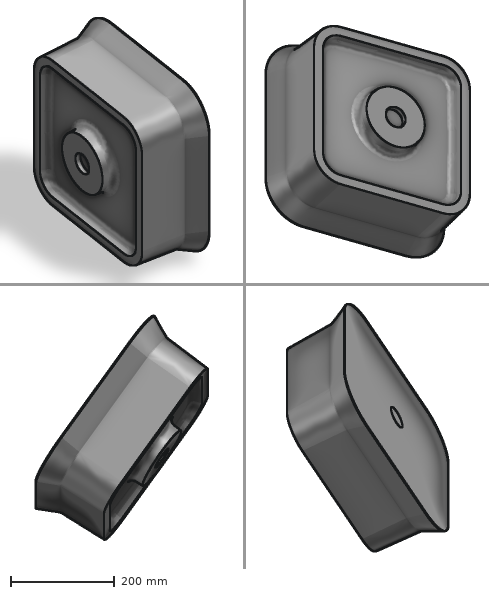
import cadquery as cq
import math


rim_land = 1.5
flare_height = 45.0
bowl_height = 100.0
boss_projection = 14.0
foot_y = -(flare_height + bowl_height)
boss_face_y = foot_y - boss_projection

corner_centre = 115.0
rim_half = 200.2
waist_half = 179.5
foot_half = 175.0
waist_fillet = 5.2

recess_half = 155.0
recess_draft = 20.0
recess_fillet = 16.0

floor_square_half = 25.0
floor_slope = 3.0
floor_peak_corner = 20.0
floor_peak_depth = 15.2
floor_base_depth = 32.0

boss_radius = 65.3
boss_draft = 3.0
boss_fillet = 16.0
drain_radius = 22.0
plug_setback = 12.0

pick_margin = 4.0


def facing_plane(y, direction):
    """Plane across the basin axis at height y, facing +Y (1) or -Y (-1)."""
    return cq.Plane(origin=(0, y, 0), xDir=(1, 0, 0), normal=(0, direction, 0))


def rounded_square_block(half, centre, y, height, taper, direction):
    """Tapered block from a square whose corner arcs are centred at (+-centre, +-centre)."""
    outline = cq.Sketch().rect(2 * half, 2 * half).vertices().fillet(half - centre)
    return cq.Workplane(facing_plane(y, direction)).placeSketch(outline).extrude(height, taper=taper)


def frustum(start_half, end_half, y, height):
    """Outer block running towards -Y from one half width to a smaller one."""
    taper = math.degrees(math.atan2(start_half - end_half, height))
    return rounded_square_block(start_half, corner_centre, y, height, taper, -1)


def drain_cylinder(y_start):
    """Drain-sized cylinder from y_start to the rim face."""
    return cq.Workplane(facing_plane(y_start, 1)).circle(drain_radius).extrude(-y_start)


def centred_box(half, y_low, y_high):
    """Selector for what has its centre within a square box around the axis."""
    return cq.selectors.BoxSelector((-half, y_low, -half), (half, y_high, half))


def make_outer_block():
    """Rim land, flare and bowl in one block, with a rounded waist."""
    land = frustum(rim_half, rim_half, 0, rim_land)
    flare = frustum(rim_half, waist_half, -rim_land, flare_height - rim_land)
    bowl = frustum(waist_half, foot_half, -flare_height, bowl_height)
    waist = centred_box(rim_half, -flare_height - pick_margin, -flare_height + pick_margin)
    return land.union(flare).union(bowl).edges(waist).fillet(waist_fillet)


def make_boss():
    """Drafted boss from below the recess floor to its projecting face."""
    root_y = foot_y + floor_base_depth
    height = root_y - boss_face_y
    root_radius = boss_radius + height * math.tan(math.radians(boss_draft))
    return cq.Workplane(facing_plane(root_y, -1)).circle(root_radius).extrude(height, taper=boss_draft)


def make_floor_mound():
    """Shallow mound that gives the recess floor its slope."""
    height = floor_base_depth - floor_peak_depth
    base_corner = floor_peak_corner + height / math.tan(math.radians(floor_slope))
    base_half = floor_square_half + base_corner
    base_y = foot_y + floor_base_depth
    return rounded_square_block(base_half, floor_square_half, base_y, height, 90 - floor_slope, -1)


def make_recess(boss):
    """Ring-shaped space around the boss, rounded where its floor meets the wall and the boss."""
    pocket = rounded_square_block(recess_half, corner_centre, foot_y, floor_base_depth, recess_draft, 1)
    space = pocket.cut(make_floor_mound()).cut(boss)
    floor_top_y = foot_y + floor_peak_depth
    floor_bottom_y = foot_y + floor_base_depth
    whole_floor = centred_box(recess_half, floor_top_y, floor_bottom_y)
    inner_floor = centred_box(corner_centre + pick_margin, floor_top_y, floor_bottom_y)
    boss_foot = centred_box(boss_radius + pick_margin, floor_top_y, floor_bottom_y)
    space = space.edges(whole_floor - inner_floor).fillet(recess_fillet)
    return space.edges(boss_foot).fillet(boss_fillet)


def make_basin():
    boss = make_boss()
    block = make_outer_block().cut(make_recess(boss)).union(boss)
    return block.cut(drain_cylinder(boss_face_y))


def make_plug():
    """Plug filling the drain, set back from the boss face."""
    return drain_cylinder(boss_face_y + plug_setback)


basin = make_basin()
plug = make_plug()
result = cq.Compound.makeCompound([basin.solids().val(), plug.val()])